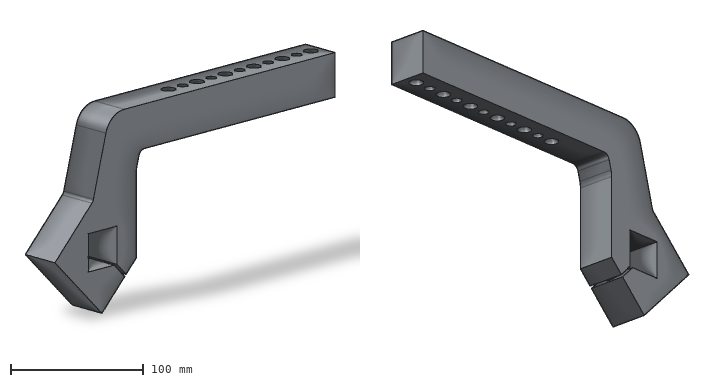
import cadquery as cq
import math

WIDTH = 32.0
ARM_END_Y = 245.0
ARM_TOP_Z = 105.0
ARM_THICKNESS = 35.0

NECK_LEAN = math.radians(15.0)
NECK_THICKNESS = 40.0
NECK_OUTER_CORNER_Y = 7.45
BACK_Y = 35.5
OUTER_BEND_RADIUS = 20.0
INNER_BEND_RADIUS = 6.0
BACK_BLEND_RADIUS = 20.0
HEAD_BLEND_RADIUS = 6.0

HEAD_HALF_WIDTH = 35.0
SOCKET_SIZE = 30.0
SLOT_WIDTH = 2.0
HEAD_LOWER_OFFSET = HEAD_HALF_WIDTH + SLOT_WIDTH / 2

SCREW_DIAMETER = 10.0
SCREW_DISTANCE = 26.0
SCREW_EMBED = 1.0

LARGE_HOLE_DIAMETER = 11.0
SMALL_HOLE_DIAMETER = 8.0
HOLE_COUNT = 11
HOLE_PITCH = 15.0
HOLE_END_DISTANCE = 10.0


def head_point(along_slot, across_slot):
    """(Y, Z) of a point given along the slot (+Y, -Z) and across it (-Y, -Z)."""
    diagonal = math.sqrt(2)
    return ((along_slot - across_slot) / diagonal, (-along_slot - across_slot) / diagonal)


def extrude_profile(points):
    """Prism across the full width, centred on X = 0."""
    return cq.Workplane("YZ").polyline(points).close().extrude(WIDTH / 2, both=True)


def fillet_corner(body, corner, radius):
    """Round the X-parallel edge that passes through the (Y, Z) corner."""
    selector = cq.selectors.NearestToPointSelector((0, *corner))
    return body.edges("|X").edges(selector).fillet(radius)


def make_body():
    lean = math.tan(NECK_LEAN)
    arm_bottom_z = ARM_TOP_Z - ARM_THICKNESS

    outer_corner = (NECK_OUTER_CORNER_Y, ARM_TOP_Z)
    neck_inner_y = NECK_OUTER_CORNER_Y + NECK_THICKNESS / math.cos(NECK_LEAN) - ARM_THICKNESS * lean
    inner_corner = (neck_inner_y, arm_bottom_z)
    back_corner = (BACK_Y, arm_bottom_z - (neck_inner_y - BACK_Y) / lean)

    head_rise = HEAD_HALF_WIDTH * math.sqrt(2)
    head_corner_y = (NECK_OUTER_CORNER_Y - (ARM_TOP_Z - head_rise) * lean) / (1 - lean)
    head_corner = (head_corner_y, head_corner_y + head_rise)

    body = extrude_profile([
        (ARM_END_Y, ARM_TOP_Z),
        outer_corner,
        head_corner,
        head_point(-HEAD_HALF_WIDTH, HEAD_LOWER_OFFSET),
        head_point(HEAD_HALF_WIDTH, HEAD_LOWER_OFFSET),
        (BACK_Y, BACK_Y - head_rise),
        back_corner,
        inner_corner,
        (ARM_END_Y, arm_bottom_z),
    ])
    body = fillet_corner(body, outer_corner, OUTER_BEND_RADIUS)
    body = fillet_corner(body, inner_corner, INNER_BEND_RADIUS)
    body = fillet_corner(body, back_corner, BACK_BLEND_RADIUS)
    return fillet_corner(body, head_corner, HEAD_BLEND_RADIUS)


def make_socket():
    return cq.Workplane("XY").box(WIDTH, SOCKET_SIZE, SOCKET_SIZE)


def make_slot():
    """Slit from the socket to the lower head face, one wall on the socket diagonal."""
    slot_end = HEAD_HALF_WIDTH + SLOT_WIDTH
    return extrude_profile([
        head_point(0, 0),
        head_point(slot_end, 0),
        head_point(slot_end, SLOT_WIDTH),
        head_point(0, SLOT_WIDTH),
    ])


def make_screw():
    """Shank square to the slot, sunk a little into both slot walls."""
    start_y, start_z = head_point(SCREW_DISTANCE, -SCREW_EMBED)
    length = SLOT_WIDTH + 2 * SCREW_EMBED
    start = cq.Vector(0, start_y, start_z)
    shank = cq.Solid.makeCylinder(SCREW_DIAMETER / 2, length, start, cq.Vector(0, -1, -1))
    return cq.Workplane(obj=shank)


def make_arm_holes():
    holes = cq.Workplane("XY")
    for index in range(HOLE_COUNT):
        diameter = LARGE_HOLE_DIAMETER if index % 2 == 0 else SMALL_HOLE_DIAMETER
        hole_y = ARM_END_Y - HOLE_END_DISTANCE - index * HOLE_PITCH
        hole = cq.Workplane("XY").center(0, hole_y).circle(diameter / 2).extrude(ARM_TOP_Z)
        holes = holes.union(hole)
    return holes


body = make_body().cut(make_slot())
result = body.union(make_screw()).cut(make_socket()).cut(make_arm_holes())